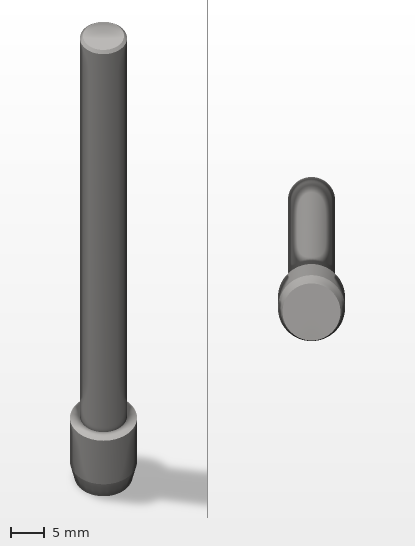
import cadquery as cq

total_length = 90.0

rod_radius = 3.5
rod_chamfer = 0.45
head_radius = 4.0
head_height = 11.9

sleeve_radius = 4.995
sleeve_shoulder_height = 12.0
sleeve_height = 12.3

nose_height = 3.1
nose_end_radius = 4.3


def make_rod():
    """Round rod with a chamfered top end and a head that fills the bore of the sleeve."""
    shank = cq.Workplane("XY").circle(rod_radius).extrude(total_length)
    shank = shank.faces(">Z").chamfer(rod_chamfer)
    head = cq.Workplane("XY").circle(head_radius).extrude(head_height)
    return shank.union(head)


def make_sleeve():
    """Sleeve with a lip over the rod head, turned about Z from (radius, height) points."""
    half_section = [
        (head_radius, 0),
        (nose_end_radius, 0),
        (sleeve_radius, nose_height),
        (sleeve_radius, sleeve_shoulder_height),
        (rod_radius, sleeve_height),
        (rod_radius, head_height),
        (head_radius, head_height),
    ]
    return (
        cq.Workplane("XZ")
        .polyline(half_section)
        .close()
        .revolve(360, (0, 0, 0), (0, 1, 0))
    )


rod = make_rod()
sleeve = make_sleeve()

result = cq.Compound.makeCompound([rod.val(), sleeve.val()])